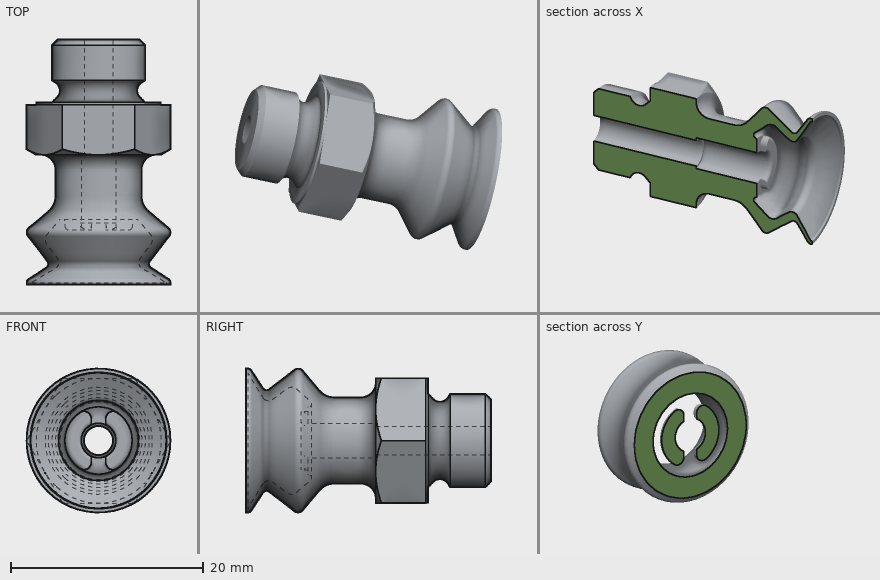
import math

import cadquery as cq


total_length = 25.5
thread_radius = 9.73 / 2
thread_chamfer = 0.6
thread_end = 21.25
relief_start_radius = 4.65
relief_start_height = 21.12
relief_root_radius = 4.04
relief_root_height = 20.28
relief_cone_end = 19.5
relief_cone_end_radius = 4.3
relief_base_radius = 4.86
collar_radius = 13 / 2
collar_top = 18.95
collar_height = 0.25

hex_sides = 6
hex_across_flats = 13
hex_top = collar_top - collar_height
hex_bottom = 13.5
hex_chamfer_angle = 30
hex_corner_radius = hex_across_flats / 2 / math.cos(math.pi / hex_sides)

tube_radius = 9 / 2
tube_to_hex_round = 1.5
tube_to_bellows_round = 2
tube_corner_height = 8.22
fold_corner = (7.72, 5.52)
fold_round = 0.6
neck_corner = (5.04, 2.04)
neck_round = 0.45
lip_radius = 15 / 2
lip_corner_height = 0.43
lip_round = 0.47

lip_inner_radius = 14.2 / 2
lip_edge_radius = 7.04
lip_edge_height = 0.2
throat_corner = (3.84, 2.14)
throat_round = 0.68
cavity_corner = (5.82, 4.74)
cavity_round = 0.86
valley_height = 7.42
valley_round = 0.36

stop_radius = 7 / 2
stop_face = 5.7
stop_edge_round = 0.4
slot_floor = 6.45
slot_width = 1.5
slot_corner_round = 0.77
slot_inner_corner_round = 0.2
stop_bore_radius = 3.6 / 2
bore_radius = 3 / 2


def rounded_outline(corners):
    """Closed wire through (x, y, round) corners, each round being a tangent arc."""
    pieces = []
    for index, (x, y, radius) in enumerate(corners):
        corner = cq.Vector(x, y)
        if radius == 0:
            pieces.append((corner, None, corner))
            continue
        before = cq.Vector(*corners[index - 1][:2])
        after = cq.Vector(*corners[(index + 1) % len(corners)][:2])
        to_before = (before - corner).normalized()
        to_after = (after - corner).normalized()
        half_angle = to_before.getAngle(to_after) / 2
        tangent_length = radius / math.tan(half_angle)
        middle_distance = radius / math.sin(half_angle) - radius
        middle = corner + (to_before + to_after).normalized() * middle_distance
        pieces.append((corner + to_before * tangent_length, middle, corner + to_after * tangent_length))

    outline = cq.Workplane("XY").moveTo(*pieces[0][2].toTuple()[:2])
    for start, middle, end in pieces[1:] + pieces[:1]:
        outline = outline.lineTo(*start.toTuple()[:2])
        if middle is not None:
            outline = outline.threePointArc(middle.toTuple()[:2], end.toTuple()[:2])
    return outline.close()


def revolve_about_y(outline):
    return outline.revolve(360, (0, 0), (0, 1))


def make_bellows():
    """Lip, fold and tube with the core of the hexagon, hollow up to the valley around the stop."""
    corners = [
        (0, hex_top, 0),
        (0, stop_face, 0),
        (stop_radius, stop_face, stop_edge_round),
        (stop_radius, valley_height, valley_round),
        (*cavity_corner, cavity_round),
        (*throat_corner, throat_round),
        (lip_edge_radius, lip_edge_height, 0),
        (lip_inner_radius, 0, 0),
        (lip_radius, 0, 0),
        (lip_radius, lip_corner_height, lip_round),
        (*neck_corner, neck_round),
        (*fold_corner, fold_round),
        (tube_radius, tube_corner_height, tube_to_bellows_round),
        (tube_radius, hex_bottom, tube_to_hex_round),
        (hex_across_flats / 2, hex_bottom, 0),
        (hex_across_flats / 2, hex_top, 0),
    ]
    return revolve_about_y(rounded_outline(corners))


def make_hexagon():
    """Hexagon with corners on the X axis and a conical chamfer on the bellows side."""
    height = hex_top - hex_bottom
    top_plane = cq.Workplane("XZ", origin=(0, hex_top, 0))
    prism = top_plane.polygon(hex_sides, 2 * hex_corner_radius).extrude(height)
    chamfer_height = (hex_corner_radius - hex_across_flats / 2) * math.tan(math.radians(hex_chamfer_angle))
    envelope = [
        (0, hex_bottom),
        (hex_across_flats / 2, hex_bottom),
        (hex_corner_radius, hex_bottom + chamfer_height),
        (hex_corner_radius, hex_top),
        (0, hex_top),
    ]
    return prism.intersect(revolve_about_y(cq.Workplane("XY").polyline(envelope).close()))


def make_thread_end():
    """Collar, thread relief and plain thread cylinder."""
    outline = (
        cq.Workplane("XY")
        .moveTo(0, hex_top)
        .lineTo(collar_radius, hex_top)
        .lineTo(collar_radius, collar_top)
        .lineTo(relief_base_radius, collar_top)
        .lineTo(relief_cone_end_radius, relief_cone_end)
        .threePointArc(
            (relief_root_radius, relief_root_height),
            (relief_start_radius, relief_start_height),
        )
        .lineTo(thread_radius, thread_end)
        .lineTo(thread_radius, total_length - thread_chamfer)
        .lineTo(thread_radius - thread_chamfer, total_length)
        .lineTo(0, total_length)
        .close()
    )
    return revolve_about_y(outline)


def make_stop_pad(side):
    """Kidney-shaped prism on one side of the slot, with all four upright corners rounded."""
    depth = slot_floor - stop_face
    floor_plane = cq.Workplane("XZ", origin=(0, slot_floor, 0))
    side_center = side * (slot_width / 2 + stop_radius)
    side_block = floor_plane.center(side_center, 0).rect(2 * stop_radius, 2 * stop_radius).extrude(depth)
    pad = floor_plane.circle(stop_radius).extrude(depth).intersect(side_block)
    pad = pad.edges("|Y").fillet(slot_corner_round)
    pad = pad.cut(floor_plane.circle(stop_bore_radius).extrude(depth))
    inner_zone = cq.selectors.BoxSelector(
        (-stop_bore_radius, stop_face, -stop_bore_radius),
        (stop_bore_radius, slot_floor, stop_bore_radius),
    )
    return pad.edges("|Y").edges(inner_zone).fillet(slot_inner_corner_round)


def make_stop_slot():
    """Slot across the stop that leaves two kidney-shaped pads standing."""
    slot = cq.Workplane("XZ", origin=(0, slot_floor, 0)).circle(stop_radius).extrude(slot_floor - stop_face)
    for side in (-1, 1):
        slot = slot.cut(make_stop_pad(side))
    return slot


def make_bore():
    """Through bore, wider inside the bellows part and rounded at the pads' inner edge."""
    mouth_radius = stop_bore_radius + stop_edge_round
    outline = (
        cq.Workplane("XY")
        .moveTo(0, stop_face)
        .lineTo(mouth_radius, stop_face)
        .radiusArc((stop_bore_radius, stop_face + stop_edge_round), stop_edge_round)
        .lineTo(stop_bore_radius, hex_bottom)
        .lineTo(bore_radius, hex_bottom)
        .lineTo(bore_radius, total_length)
        .lineTo(0, total_length)
        .close()
    )
    return revolve_about_y(outline)


result = make_bellows().union(make_hexagon()).union(make_thread_end())
result = result.cut(make_stop_slot()).cut(make_bore())